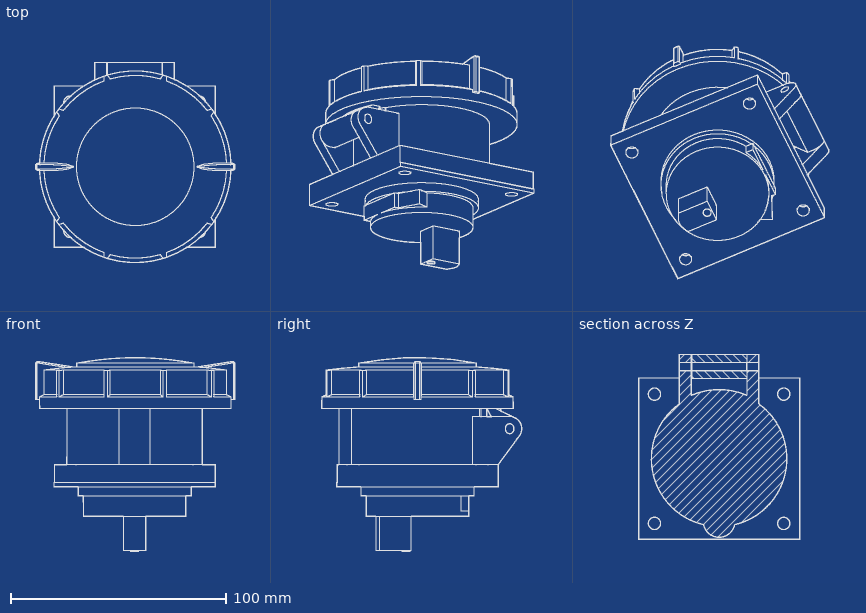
import cadquery as cq
import math

housing_x = -0.3

gasket_side = 75.0
gasket_height = 2.0
plate_step_x = 0.3
plate_step_y = 0.15
flange_top = 10.3
mount_pitch = 60.0
mount_hole_diameter = 5.6

barrel_radius = 31.5
lid_bottom = 36.3
front_boss_radius = 7.4
front_boss_y = -29.1
saddle_radius = 32.2

collar_radius = 26.3
collar_bottom = -4.15
insert_radius = 23.85
insert_bottom = -13.7
lug_bottom = -11.1
side_lug_angle = 23.0
side_lug_start = (-21.3, 11.3)
side_lug_length = 6.4
side_lug_width = 11.8
rear_lug_half_width = 12.6
rear_lug_y = 23.8

clamp_half_width = 5.2
clamp_back_y = -2.9
clamp_shoulder_y = -17.6
clamp_front_y = -19.3
clamp_nose_half_width = 1.5
clamp_nose_rise = 0.15
clamp_bottom = -29.65
button_diameter = 3.7
button_y = -5.3
button_bottom = -30.0

pivot_y = 42.78
pivot_z = 27.0
knuckle_radius = 5.65
ear_outer = 18.5
ear_inner = 12.85
ear_front_y = 25.5
pivot_slot_height = 4.5
pivot_slot_width = 3.7
arm_clearance = 0.05
arm_slope = 25.6
arm_web_slope = 62.0
lid_pad_inner_radius = 35.5
lid_pad_radius = 38.7
lid_pad_height = 0.9

lid_radius = 44.5
grip_radius = 42.4
ledge_outer_z = 41.75
ledge_inner_z = 42.8
crown_edge_z = 53.9
crown_mid = (36.0, 55.0)
cap_radius = 27.3
cap_base_z = 55.7
cap_rim_z = 57.45
cap_top_z = 60.12

rib_positions = 10
rib_outer_width = 1.7
rib_flank_angle = 18.0
rib_root_radius = 40.0
cut_margin = 1.0
handle_reach = 46.2
handle_bottom = 40.5
handle_top = 58.1
handle_shoulder_x = 44.3
handle_tip_x = 28.6
handle_tip_z = 55.65
handle_end_half_width = 1.57
handle_mid_x = 42.5
handle_mid_half_width = 1.8
handle_neck_x = 36.0
handle_neck_half_width = 1.65
handle_tip_half_width = 0.85
handle_front_chamfer = 0.6
handle_ridge_chamfer = 0.75


def cylinder(radius, bottom, top, x=0.0, y=0.0):
    """Vertical cylinder between two heights."""
    return cq.Workplane("XY", origin=(x, y, bottom)).circle(radius).extrude(top - bottom)


def block(x_range, y_range, z_range):
    """Axis-aligned box given by its limits along each axis."""
    size = [high - low for low, high in (x_range, y_range, z_range)]
    corner = (x_range[0], y_range[0], z_range[0])
    return cq.Workplane("XY").box(*size, centered=False).translate(corner)


def hinge_profile(x_start):
    """Workplane in the YZ plane, at the given X."""
    return cq.Workplane("YZ", origin=(x_start, 0, 0))


def pivot_slot():
    """Upright pin slot through both ears and the lid arm."""
    return (hinge_profile(housing_x - ear_outer)
            .center(pivot_y, pivot_z)
            .slot2D(pivot_slot_height, pivot_slot_width, 90)
            .extrude(2 * ear_outer))


def make_flange():
    half = gasket_side / 2
    left = housing_x - half
    right = housing_x + half
    gasket = block((left, right), (-half, half), (0, gasket_height))
    plate = block((left + plate_step_x, right), (-half + plate_step_y, half), (gasket_height, flange_top))
    return gasket.union(plate)


def make_mount_holes():
    return (cq.Workplane("XY", origin=(housing_x, 0, 0))
            .rect(mount_pitch, mount_pitch, forConstruction=True)
            .vertices()
            .circle(mount_hole_diameter / 2)
            .extrude(flange_top))


def make_barrel():
    barrel = cylinder(barrel_radius, flange_top, lid_bottom, housing_x)
    boss = cylinder(front_boss_radius, flange_top, lid_bottom, housing_x, front_boss_y)
    saddle = cylinder(saddle_radius, flange_top, lid_bottom, housing_x).intersect(
        block((housing_x - ear_inner, housing_x + ear_inner), (0, saddle_radius), (flange_top, lid_bottom)))
    return barrel.union(boss).union(saddle)


def make_ear(x_start):
    """Hinge ear: flat top, round knuckle, and an edge running tangent down to the flange."""
    foot_y = gasket_side / 2
    dy = foot_y - pivot_y
    dz = flange_top - pivot_z
    tangent_angle = math.atan2(dz, dy) + math.acos(knuckle_radius / math.hypot(dy, dz))
    tangent = (pivot_y + knuckle_radius * math.cos(tangent_angle),
               pivot_z + knuckle_radius * math.sin(tangent_angle))
    top_z = pivot_z + knuckle_radius
    return (hinge_profile(x_start)
            .moveTo(ear_front_y, flange_top)
            .lineTo(ear_front_y, top_z)
            .lineTo(pivot_y, top_z)
            .threePointArc((pivot_y + knuckle_radius, pivot_z), tangent)
            .lineTo(foot_y, flange_top)
            .close()
            .extrude(ear_outer - ear_inner))


def make_insert():
    collar = cylinder(collar_radius, collar_bottom, 0, housing_x)
    insert = cylinder(insert_radius, insert_bottom, collar_bottom, housing_x)
    side_lug = (block((0, side_lug_width), (-side_lug_length, side_lug_length), (lug_bottom, collar_bottom))
                .rotate((0, 0, 0), (0, 0, 1), side_lug_angle)
                .translate((*side_lug_start, 0)))
    rear_lug = block((housing_x - rear_lug_half_width, housing_x + rear_lug_half_width),
                     (0, rear_lug_y), (lug_bottom, collar_bottom))
    return collar.union(insert).union(side_lug).union(rear_lug)


def make_clamp():
    block_body = (cq.Workplane("XY", origin=(housing_x, 0, clamp_bottom))
                  .moveTo(-clamp_half_width, clamp_back_y)
                  .lineTo(-clamp_half_width, clamp_shoulder_y)
                  .lineTo(-clamp_nose_half_width, clamp_front_y + clamp_nose_rise)
                  .threePointArc((0, clamp_front_y), (clamp_nose_half_width, clamp_front_y + clamp_nose_rise))
                  .lineTo(clamp_half_width, clamp_shoulder_y)
                  .lineTo(clamp_half_width, clamp_back_y)
                  .close()
                  .extrude(insert_bottom - clamp_bottom))
    button = cylinder(button_diameter / 2, button_bottom, clamp_bottom, housing_x, button_y)
    return block_body.union(button)


def make_housing():
    body = make_flange().union(make_barrel())
    for x_start in (housing_x - ear_outer, housing_x + ear_inner):
        body = body.union(make_ear(x_start))
    body = body.union(make_insert()).union(make_clamp())
    return body.cut(make_mount_holes()).cut(pivot_slot())


def make_crown():
    """Full-radius lid blank with a gently domed top."""
    return (cq.Workplane("XZ")
            .moveTo(0, lid_bottom)
            .lineTo(lid_radius, lid_bottom)
            .lineTo(lid_radius, crown_edge_z)
            .threePointArc(crown_mid, (cap_radius, cap_base_z))
            .lineTo(0, cap_base_z)
            .close()
            .revolve(360, (0, 0, 0), (0, 1, 0)))


def make_grip_ring():
    """Ring removed between the ribs, with a sloped ledge as its floor."""
    return (cq.Workplane("XZ")
            .moveTo(lid_radius, ledge_outer_z)
            .lineTo(grip_radius, ledge_inner_z)
            .lineTo(grip_radius, cap_base_z)
            .lineTo(lid_radius + cut_margin, cap_base_z)
            .lineTo(lid_radius + cut_margin, ledge_outer_z)
            .close()
            .revolve(360, (0, 0, 0), (0, 1, 0)))


def make_rib(angle):
    """Wedge-sided prism that marks where one grip rib stays."""
    depth = lid_radius - rib_root_radius
    outer_half = rib_outer_width / 2
    root_half = outer_half + depth * math.tan(math.radians(rib_flank_angle))
    return (cq.Workplane("XY", origin=(0, 0, lid_bottom))
            .polyline([(rib_root_radius, -root_half), (lid_radius, -outer_half),
                       (lid_radius + cut_margin, -outer_half), (lid_radius + cut_margin, outer_half),
                       (lid_radius, outer_half), (rib_root_radius, root_half)])
            .close()
            .extrude(cap_base_z - lid_bottom)
            .rotate((0, 0, 0), (0, 0, 1), angle))


def make_cap():
    """Central disc with a spherical top."""
    rise = cap_top_z - cap_rim_z
    dome_radius = (cap_radius ** 2 + rise ** 2) / (2 * rise)
    dome = cq.Workplane("XY").sphere(dome_radius).rotate((0, 0, 0), (1, 0, 0), 90)
    dome = dome.translate((0, 0, cap_top_z - dome_radius))
    return cylinder(cap_radius, lid_bottom, cap_top_z).intersect(dome)


def make_handle():
    """Finger handle on the +X side: side outline and plan outline intersected."""
    side = (cq.Workplane("XZ")
            .polyline([(handle_tip_x, handle_bottom), (handle_reach, handle_bottom),
                       (handle_reach, handle_top), (handle_shoulder_x, handle_top),
                       (handle_tip_x, handle_tip_z)])
            .close()
            .extrude(handle_mid_half_width, both=True))
    half_plan = [(handle_reach, handle_end_half_width), (handle_mid_x, handle_mid_half_width),
                 (handle_neck_x, handle_neck_half_width), (handle_tip_x, handle_tip_half_width)]
    other_half = [(x, -y) for x, y in reversed(half_plan)]
    plan = (cq.Workplane("XY", origin=(0, 0, handle_bottom))
            .polyline(half_plan + other_half)
            .close()
            .extrude(handle_top - handle_bottom))
    handle = side.intersect(plan).faces(">X").edges("|Z or >Z").chamfer(handle_front_chamfer)
    slope_x = (handle_tip_x + handle_shoulder_x) / 2
    slope_z = (handle_tip_z + handle_top) / 2
    ridge = cq.selectors.NearestToPointSelector((slope_x, 0, slope_z))
    return handle.faces(ridge).edges("not |Y").chamfer(handle_ridge_chamfer)


def make_arm():
    """Hinge arm between the ears, from the pivot knuckle up to the lid underside."""
    slope = math.radians(arm_slope)
    top_tangent = (pivot_y + knuckle_radius * math.sin(slope), pivot_z + knuckle_radius * math.cos(slope))
    top_y = top_tangent[0] - (lid_bottom - top_tangent[1]) / math.tan(slope)
    bottom_z = pivot_z - knuckle_radius
    web_y = saddle_radius + (lid_bottom - bottom_z) / math.tan(math.radians(arm_web_slope))
    width = 2 * (ear_inner - arm_clearance)
    return (hinge_profile(housing_x - width / 2)
            .moveTo(saddle_radius, lid_bottom)
            .lineTo(top_y, lid_bottom)
            .lineTo(*top_tangent)
            .threePointArc((pivot_y + knuckle_radius, pivot_z), (pivot_y, bottom_z))
            .lineTo(web_y, bottom_z)
            .close()
            .extrude(width))


def make_lid_pad():
    """Thin curved pad under the lid, behind the barrel, at the root of the hinge arm."""
    bottom = lid_bottom - lid_pad_height
    half_width = ear_inner - arm_clearance
    between_ears = block((housing_x - half_width, housing_x + half_width),
                         (0, lid_pad_radius), (bottom, lid_bottom))
    pad = cylinder(lid_pad_radius, bottom, lid_bottom).intersect(between_ears)
    return pad.cut(cylinder(lid_pad_inner_radius, bottom, lid_bottom))


def make_lid():
    grip = make_grip_ring()
    for index in range(rib_positions):
        grip = grip.cut(make_rib(index * 360 / rib_positions))
    body = make_crown().cut(grip).union(make_cap())
    handle = make_handle()
    for angle in (0, 180):
        body = body.union(handle.rotate((0, 0, 0), (0, 0, 1), angle))
    return body.union(make_arm()).union(make_lid_pad()).cut(pivot_slot())


housing = make_housing()
lid = make_lid()

result = cq.Compound.makeCompound([housing.val(), lid.val()])